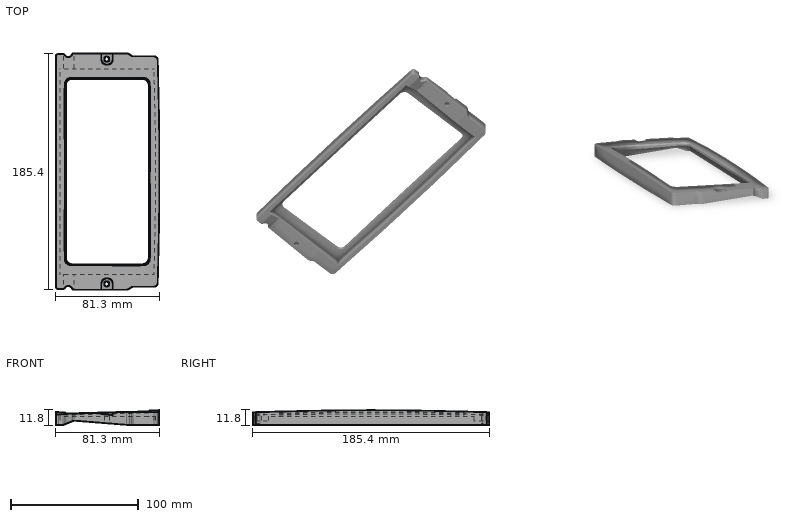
import cadquery as cq
import math

LENGTH_Y = 185.35
WIDTH_X = 81.26
HEIGHT_Z = 11.83
HALF_Y = LENGTH_Y / 2
TOOL_HEIGHT = 2 * HEIGHT_Z

RIGHT_END_X = 79.9
LEFT_HALF_Y = 92.1
RIGHT_HALF_Y = 90.4
LEFT_CORNER_R = 1.9
RIGHT_CORNER_R = 3.4

NOTCH_X = 9.75
NOTCH_R = 3.3
NOTCH_BOTTOM_Y = 89.75
NOTCH_EDGE_R = 1.5

STEP_START_X = 56.5
STEP_END_X = 59.8
STEP_OUTER_R = 4.0
STEP_INNER_R = 2.0

TOP_AT_CENTRE = [(0, 10.3), (14, 10.1), (40, 10.8), (70, 11.5), (WIDTH_X, HEIGHT_Z)]
TOP_AT_ENDS = [(0, 7.9), (14, 8.9), (40, 9.6), (70, 10.2), (WIDTH_X, 9.7)]

RELIEF_START_X = 5.8
RELIEF_PEAK_X = 14.2
RELIEF_PEAK_Z = 3.4
RELIEF_END_X = STEP_START_X
RELIEF_TILT = math.degrees(math.atan(RELIEF_PEAK_Z / (RELIEF_END_X - RELIEF_PEAK_X)))

WINDOW_LEFT_X = 8.0
WINDOW_RIGHT_X = 72.7
WINDOW_HALF_Y = 72.5
WINDOW_CORNER_R = 4.5
WINDOW_CHAMFER = 1.1

SIDE_WALL = 3.2
RECESS_FLOOR_Z = 7.0
RECESS_HALF_Y = 80.5

SCREW_X = 40.1
SCREW_Y = 88.1
SCREW_HOLE_D = 3.95
SEAT_R = 4.5
SEAT_FLOOR_Z = 8.15

ENDS = (-1, 1)
EDGE_MARGIN = 0.5


def crowned_blank():
    """Flat-bottomed block whose top is lofted through three spline sections."""
    sections = []
    for y, top in ((-HALF_Y, TOP_AT_ENDS), (0, TOP_AT_CENTRE), (HALF_Y, TOP_AT_ENDS)):
        section = (
            cq.Workplane("XZ", origin=(0, y, 0))
            .lineTo(*top[0])
            .spline(top[1:], includeCurrent=True)
            .lineTo(WIDTH_X, 0)
            .close()
        )
        sections.append(section.val())
    return cq.Workplane(obj=cq.Solid.makeLoft(sections, False))


def round_upright_edges(prism, x, half_y, radius):
    """Fillet the matching pair of upright edges at (x, +half_y) and (x, -half_y)."""
    for side in ENDS:
        corner = (x, side * half_y, TOOL_HEIGHT / 2)
        prism = prism.edges(cq.NearestToPointSelector(corner)).fillet(radius)
    return prism


def plan_prism():
    """Upright prism of the outer outline, with notches, steps and rounded corners."""
    end = [
        (0, LEFT_HALF_Y),
        (NOTCH_X, LEFT_HALF_Y),
        (NOTCH_X, HALF_Y),
        (STEP_START_X, HALF_Y),
        (STEP_END_X, RIGHT_HALF_Y),
        (RIGHT_END_X, RIGHT_HALF_Y),
    ]
    opposite_end = [(x, -y) for x, y in reversed(end)]
    prism = (
        cq.Workplane("XY")
        .polyline(end)
        .threePointArc((WIDTH_X, 0), opposite_end[0])
        .polyline(opposite_end)
        .close()
        .extrude(TOOL_HEIGHT)
    )
    notch_centre_y = NOTCH_BOTTOM_Y + NOTCH_R
    notches = (
        cq.Workplane("XY")
        .pushPoints([(NOTCH_X, side * notch_centre_y) for side in ENDS])
        .circle(NOTCH_R)
        .extrude(TOOL_HEIGHT)
    )
    prism = prism.cut(notches)

    notch_left_x = NOTCH_X - math.sqrt(NOTCH_R**2 - (notch_centre_y - LEFT_HALF_Y) ** 2)
    notch_right_x = NOTCH_X + math.sqrt(NOTCH_R**2 - (notch_centre_y - HALF_Y) ** 2)
    prism = round_upright_edges(prism, 0, LEFT_HALF_Y, LEFT_CORNER_R)
    prism = round_upright_edges(prism, notch_left_x, LEFT_HALF_Y, NOTCH_EDGE_R)
    prism = round_upright_edges(prism, notch_right_x, HALF_Y, NOTCH_EDGE_R)
    prism = round_upright_edges(prism, STEP_START_X, HALF_Y, STEP_OUTER_R)
    prism = round_upright_edges(prism, STEP_END_X, RIGHT_HALF_Y, STEP_INNER_R)
    return round_upright_edges(prism, RIGHT_END_X, RIGHT_HALF_Y, RIGHT_CORNER_R)


def end_relief():
    """V-shaped cut along the whole length; only the end walls reach down to it."""
    return (
        cq.Workplane("XZ", origin=(0, HALF_Y, 0))
        .polyline([(RELIEF_START_X, 0), (RELIEF_PEAK_X, RELIEF_PEAK_Z), (RELIEF_END_X, 0)])
        .close()
        .extrude(LENGTH_Y)
    )


def underside_recess():
    """Pocket from below; its right wall follows the bow of the outer side."""
    return (
        cq.Workplane("XY")
        .moveTo(SIDE_WALL, -RECESS_HALF_Y)
        .lineTo(RIGHT_END_X - SIDE_WALL, -RECESS_HALF_Y)
        .threePointArc((WIDTH_X - SIDE_WALL, 0), (RIGHT_END_X - SIDE_WALL, RECESS_HALF_Y))
        .lineTo(SIDE_WALL, RECESS_HALF_Y)
        .close()
        .extrude(RECESS_FLOOR_Z)
    )


def window():
    """Rounded rectangular opening through the frame."""
    return (
        cq.Workplane("XY")
        .center((WINDOW_LEFT_X + WINDOW_RIGHT_X) / 2, 0)
        .rect(WINDOW_RIGHT_X - WINDOW_LEFT_X, 2 * WINDOW_HALF_Y)
        .extrude(TOOL_HEIGHT)
        .edges("|Z")
        .fillet(WINDOW_CORNER_R)
    )


def chamfer_window_rim(body):
    """Chamfer the loop of edges where the window meets the crowned top."""
    rim = cq.selectors.BoxSelector(
        (WINDOW_LEFT_X - EDGE_MARGIN, -WINDOW_HALF_Y - EDGE_MARGIN, RECESS_FLOOR_Z + EDGE_MARGIN),
        (WINDOW_RIGHT_X + EDGE_MARGIN, WINDOW_HALF_Y + EDGE_MARGIN, HEIGHT_Z + EDGE_MARGIN),
        boundingbox=True,
    )
    return body.edges(rim).chamfer(WINDOW_CHAMFER)


def screw_seat(side):
    """Tilted U-shaped seat, open to the end face, with its screw hole."""
    seat = cq.Workplane("XY").circle(SEAT_R).extrude(TOOL_HEIGHT)
    opening = (
        cq.Workplane("XY")
        .center(0, side * SEAT_R)
        .rect(2 * SEAT_R, 2 * SEAT_R)
        .extrude(TOOL_HEIGHT)
    )
    hole = cq.Workplane("XY").circle(SCREW_HOLE_D / 2).extrude(TOOL_HEIGHT, both=True)
    return (
        seat.union(opening)
        .union(hole)
        .rotate((0, 0, 0), (0, 1, 0), RELIEF_TILT)
        .translate((SCREW_X, side * SCREW_Y, SEAT_FLOOR_Z))
    )


frame = crowned_blank().intersect(plan_prism()).cut(window())
frame = frame.cut(underside_recess())
frame = chamfer_window_rim(frame)
frame = frame.cut(end_relief())
for end_side in ENDS:
    frame = frame.cut(screw_seat(end_side))

result = frame